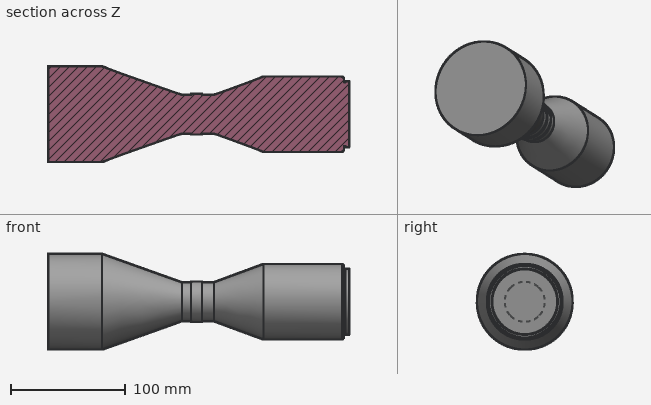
import cadquery as cq

length = 263.0
x_start = -length / 2
x_end = length / 2
head_length = 47.0
head_cone_length = 69.7
neck_length = 28.0
body_cone_length = 43.5
lip_width = 3.5
groove_width = 1.0
body_chamfer = 1.8
lip_chamfer = 0.5

head_radius = 84.0 / 2
neck_radius = 17.0
band_radius = 18.0
body_radius = 33.1
groove_radius = 28.1
lip_radius = 29.0

band_offset = 8.2
band_width = 9.5

x_head = x_start + head_length
x_neck_start = x_head + head_cone_length
x_band_start = x_neck_start + band_offset
x_band_end = x_band_start + band_width
x_neck_end = x_neck_start + neck_length
x_body_start = x_neck_end + body_cone_length
x_lip = x_end - lip_width
x_body_end = x_lip - groove_width

profile = [
    (x_start, 0),
    (x_start, head_radius),
    (x_head, head_radius),
    (x_neck_start, neck_radius),
    (x_band_start, neck_radius),
    (x_band_start, band_radius),
    (x_band_end, band_radius),
    (x_band_end, neck_radius),
    (x_neck_end, neck_radius),
    (x_body_start, body_radius),
    (x_body_end - body_chamfer, body_radius),
    (x_body_end, body_radius - body_chamfer),
    (x_body_end, groove_radius),
    (x_lip, groove_radius),
    (x_lip, lip_radius),
    (x_end - lip_chamfer, lip_radius),
    (x_end, lip_radius - lip_chamfer),
    (x_end, 0),
]

result = cq.Workplane("XZ").polyline(profile).close().revolve(360, (0, 0, 0), (1, 0, 0))